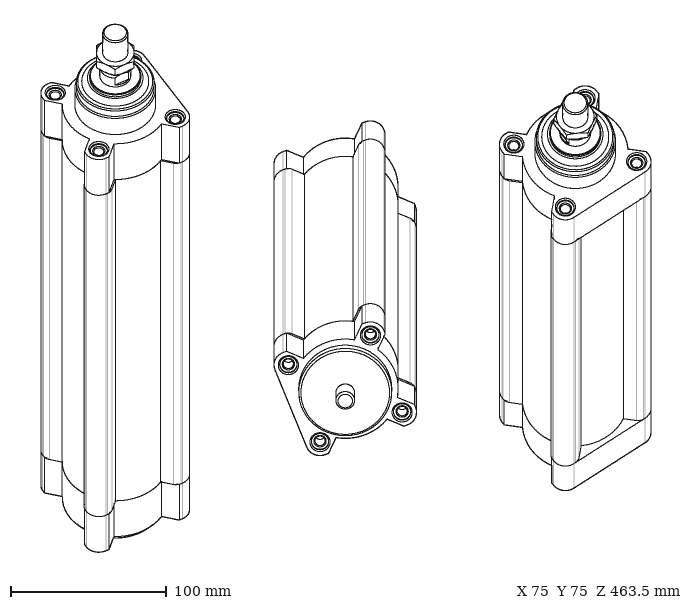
import cadquery as cq
import math


overall_length = 463.5
collar_bottom_z = 15.5
rear_cap_z = 22.5
cap_height = 34.0
barrel_bottom_z = rear_cap_z + cap_height
front_cap_top_z = 395.0
barrel_top_z = front_cap_top_z - cap_height
gland_step_z = 411.0
gland_shoulder_z = 417.0
gland_cone_z = 420.5
gland_top_z = 422.5
flats_bottom_z = 424.5
neck_bottom_z = 432.5
thread_end_z = 434.5
thread_start_z = 435.5
nut_bottom_z = 436.5
nut_height = 8.0

square_side = 75.0
half_side = square_side / 2
corner_radius = 9.5
boss_offset = half_side - corner_radius
round_radius = 68.0 / 2
cap_flank_gap = 11.5
barrel_flank_gap = 13.0
barrel_edge_radius = 6.0

recess_diameter = 11.0
recess_rim_diameter = 13.0
recess_depth = 2.0
tapped_diameter = 6.5
tapped_rim_diameter = 8.0
tapped_depth = 14.0
drill_tip_angle = 118.0

gland_diameter = 52.0
gland_ring_diameter = 50.0
gland_shoulder_diameter = 43.0
gland_cone_diameter = 35.5
gland_lip_diameter = 33.0
gland_top_diameter = 32.0
gland_ring_chamfer = 1.0
collar_diameter = 60.0
collar_chamfer = 1.5
stub_diameter = 12.0
stub_chamfer = 1.5

rod_diameter = 20.0
rod_chamfer = 1.5
rod_flats_width = 17.0
neck_diameter = 13.0
thread_diameter = 16.0
thread_chamfer = 1.0
nut_flats_width = 24.0
nut_chamfer_angle = 30.0


def corner_post(level, height, flank_gap):
    """Post of the +X +Y corner: its outer corner rounded, with a 45-degree flank on either side.

    Each flank lies on the line where one coordinate exceeds the other by flank_gap.
    """
    flank_end = half_side - flank_gap
    flank_root = (math.sqrt(2 * round_radius**2 - flank_gap**2) - flank_gap) / 2
    arc_middle = boss_offset + corner_radius * math.sqrt(0.5)
    return (
        cq.Workplane("XY", origin=(0, 0, level))
        .lineTo(flank_root, flank_root + flank_gap)
        .lineTo(flank_end, half_side)
        .lineTo(boss_offset, half_side)
        .threePointArc((arc_middle, arc_middle), (half_side, boss_offset))
        .lineTo(half_side, flank_end)
        .lineTo(flank_root + flank_gap, flank_root)
        .close()
        .extrude(height)
    )


def column_with_posts(level, height, post):
    """Round column joined to four copies of a corner post."""
    column = cq.Workplane("XY", origin=(0, 0, level)).circle(round_radius).extrude(height)
    for quarter_turn in range(4):
        column = column.union(post.rotate((0, 0, 0), (0, 0, 1), 90 * quarter_turn))
    return column


def screw_recess(x, y, face_z, inward):
    """Cutter for a chamfered recess with a blind tapped hole, running from face_z along inward (+1 or -1)."""
    rim_chamfer = (recess_rim_diameter - recess_diameter) / 2
    tapped_chamfer = (tapped_rim_diameter - tapped_diameter) / 2
    tip_depth = tapped_diameter / 2 / math.tan(math.radians(drill_tip_angle / 2))
    return (
        cq.Workplane("XZ")
        .polyline([
            (0, 0),
            (recess_rim_diameter / 2, 0),
            (recess_diameter / 2, inward * rim_chamfer),
            (recess_diameter / 2, inward * recess_depth),
            (tapped_rim_diameter / 2, inward * recess_depth),
            (tapped_diameter / 2, inward * (recess_depth + tapped_chamfer)),
            (tapped_diameter / 2, inward * tapped_depth),
            (0, inward * (tapped_depth + tip_depth)),
        ])
        .close()
        .revolve(360, (0, 0), (0, 1))
        .translate((x, y, face_z))
    )


def end_cap(level, face_z, inward):
    """Cap block, filled flat on its +Y side, with a screw recess in each boss of its outer face."""
    cap = column_with_posts(level, cap_height, corner_post(level, cap_height, cap_flank_gap))
    back_fill = (
        cq.Workplane("XY", origin=(0, 0, level))
        .rect(boss_offset, half_side, centered=False)
        .extrude(cap_height)
    )
    cap = cap.union(back_fill).union(back_fill.mirror("YZ"))
    for x in (-boss_offset, boss_offset):
        for y in (-boss_offset, boss_offset):
            cap = cap.cut(screw_recess(x, y, face_z, inward))
    return cap


def make_front_cap():
    """Front cap with its stepped gland and the bore for the rod."""
    lip_chamfer = (gland_lip_diameter - gland_top_diameter) / 2
    gland = (
        cq.Workplane("XZ")
        .polyline([
            (0, barrel_top_z),
            (gland_diameter / 2, barrel_top_z),
            (gland_diameter / 2, gland_step_z - gland_ring_chamfer),
            (gland_ring_diameter / 2, gland_step_z),
            (gland_ring_diameter / 2, gland_shoulder_z - gland_ring_chamfer),
            (gland_ring_diameter / 2 - gland_ring_chamfer, gland_shoulder_z),
            (gland_shoulder_diameter / 2, gland_shoulder_z),
            (gland_cone_diameter / 2, gland_cone_z),
            (gland_lip_diameter / 2, gland_cone_z),
            (gland_lip_diameter / 2, gland_top_z - lip_chamfer),
            (gland_top_diameter / 2, gland_top_z),
            (0, gland_top_z),
        ])
        .close()
        .revolve(360, (0, 0), (0, 1))
    )
    bore = cq.Workplane("XY", origin=(0, 0, barrel_top_z)).circle(rod_diameter / 2).extrude(overall_length)
    return end_cap(barrel_top_z, front_cap_top_z, -1).union(gland).cut(bore)


def make_rear_cap():
    """Rear cap with its centring collar and the drive stub below it."""
    collar = (
        cq.Workplane("XY", origin=(0, 0, collar_bottom_z))
        .circle(collar_diameter / 2)
        .extrude(rear_cap_z - collar_bottom_z)
        .faces("<Z")
        .chamfer(collar_chamfer)
    )
    stub = (
        cq.Workplane("XY")
        .circle(stub_diameter / 2)
        .extrude(rear_cap_z)
        .faces("<Z")
        .chamfer(stub_chamfer)
    )
    return end_cap(rear_cap_z, rear_cap_z, 1).union(collar).union(stub)


def make_barrel():
    """Profile barrel; the edge where each post meets its flanks is rounded."""
    height = barrel_top_z - barrel_bottom_z
    post = corner_post(barrel_bottom_z, height, barrel_flank_gap)
    flank_end = half_side - barrel_flank_gap
    for x, y in ((flank_end, half_side), (half_side, flank_end)):
        edge = cq.selectors.NearestToPointSelector((x, y, barrel_bottom_z + height / 2))
        post = post.edges("|Z").edges(edge).fillet(barrel_edge_radius)
    return column_with_posts(barrel_bottom_z, height, post)


def make_rod():
    """Piston rod with two wrench flats, an undercut neck and a smooth cylindrical end for the nut."""
    rod = (
        cq.Workplane("XZ")
        .polyline([
            (0, barrel_top_z),
            (rod_diameter / 2, barrel_top_z),
            (rod_diameter / 2, neck_bottom_z - rod_chamfer),
            (rod_diameter / 2 - rod_chamfer, neck_bottom_z),
            (neck_diameter / 2, neck_bottom_z),
            (neck_diameter / 2, thread_end_z),
            (thread_diameter / 2, thread_start_z),
            (thread_diameter / 2, overall_length - thread_chamfer),
            (thread_diameter / 2 - thread_chamfer, overall_length),
            (0, overall_length),
        ])
        .close()
        .revolve(360, (0, 0), (0, 1))
    )
    flat_height = neck_bottom_z - flats_bottom_z
    for side in (-1, 1):
        flat = cq.Workplane("XY", origin=(side * rod_diameter, 0, flats_bottom_z)).box(
            2 * rod_diameter - rod_flats_width, rod_diameter, flat_height, centered=(True, True, False)
        )
        rod = rod.cut(flat)
    return rod


def make_nut():
    """Hexagonal lock nut, corners on the Y axis, chamfered at both ends."""
    hexagon_radius = nut_flats_width / math.sqrt(3)
    flat_radius = nut_flats_width / 2
    chamfer_height = (hexagon_radius - flat_radius) * math.tan(math.radians(nut_chamfer_angle))
    hexagon = (
        cq.Workplane("XY", origin=(0, 0, nut_bottom_z))
        .polygon(6, 2 * hexagon_radius)
        .extrude(nut_height)
        .rotate((0, 0, 0), (0, 0, 1), 90)
    )
    nut_top_z = nut_bottom_z + nut_height
    envelope = (
        cq.Workplane("XZ")
        .polyline([
            (0, nut_bottom_z),
            (flat_radius, nut_bottom_z),
            (hexagon_radius, nut_bottom_z + chamfer_height),
            (hexagon_radius, nut_top_z - chamfer_height),
            (flat_radius, nut_top_z),
            (0, nut_top_z),
        ])
        .close()
        .revolve(360, (0, 0), (0, 1))
    )
    hole = cq.Workplane("XY", origin=(0, 0, nut_bottom_z)).circle(thread_diameter / 2).extrude(nut_height)
    return hexagon.intersect(envelope).cut(hole)


rear_cap = make_rear_cap()
barrel = make_barrel()
front_cap = make_front_cap()
rod = make_rod()
nut = make_nut()

result = cq.Compound.makeCompound([
    rear_cap.val(),
    barrel.val(),
    front_cap.val(),
    rod.val(),
    nut.val(),
])